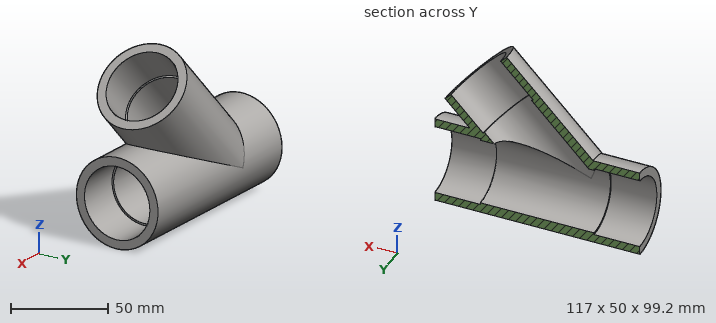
import cadquery as cq

OUTER_DIAMETER = 50.0
BORE_DIAMETER = 38.0
SOCKET_DIAMETER = 40.0
SOCKET_DEPTH = 26.0
INLET_LENGTH = 37.0
OUTLET_LENGTH = 80.0
BRANCH_LENGTH = 80.0
BRANCH_ANGLE = 45.0


def arm_cylinder(diameter, start, end, angle):
    """Cylinder from start to end along an axis raised by angle from +X toward +Z."""
    cylinder = cq.Workplane("YZ", origin=(start, 0, 0)).circle(diameter / 2).extrude(end - start)
    return cylinder.rotate((0, 0, 0), (0, 1, 0), -angle)


ARMS = [
    (INLET_LENGTH, 180.0),
    (OUTLET_LENGTH, 0.0),
    (BRANCH_LENGTH, BRANCH_ANGLE),
]


def make_body():
    """Solid run pipe joined by the inclined branch."""
    run = arm_cylinder(OUTER_DIAMETER, -INLET_LENGTH, OUTLET_LENGTH, 0)
    branch = arm_cylinder(OUTER_DIAMETER, 0, BRANCH_LENGTH, BRANCH_ANGLE)
    return run.union(branch)


def cut_bores(body):
    """Through bore along the run and a bore down the branch into it."""
    run_bore = arm_cylinder(BORE_DIAMETER, -INLET_LENGTH, OUTLET_LENGTH, 0)
    branch_bore = arm_cylinder(BORE_DIAMETER, 0, BRANCH_LENGTH, BRANCH_ANGLE)
    return body.cut(run_bore).cut(branch_bore)


def cut_sockets(body):
    """Wider pipe socket in the mouth of every arm."""
    for length, angle in ARMS:
        body = body.cut(arm_cylinder(SOCKET_DIAMETER, length - SOCKET_DEPTH, length, angle))
    return body


result = cut_sockets(cut_bores(make_body()))